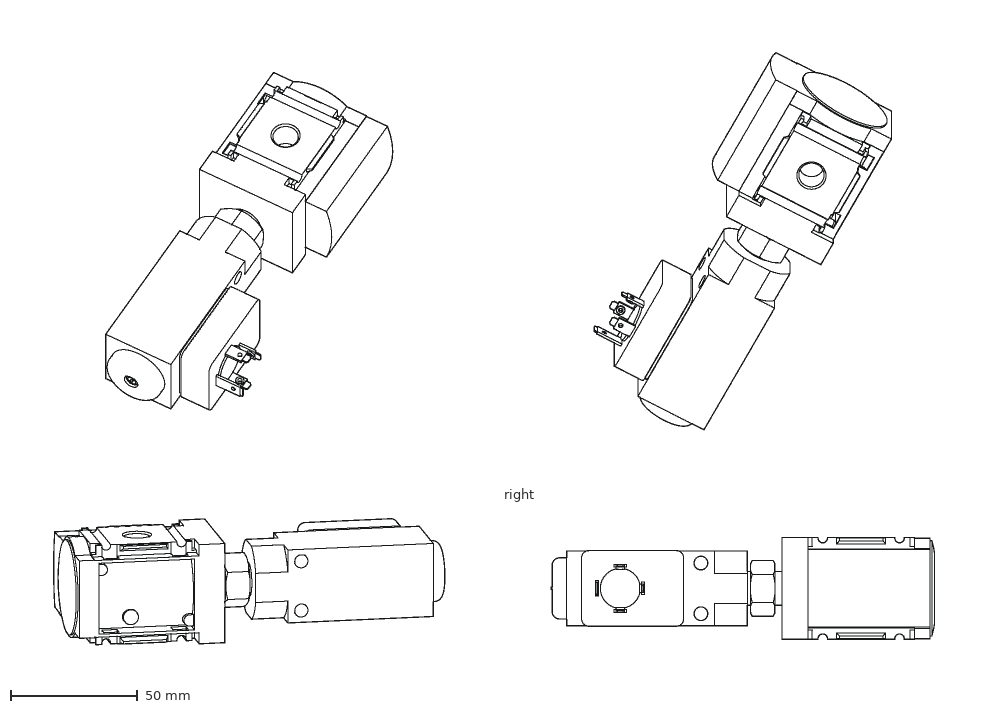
import cadquery as cq
import math


HOUSING_WIDTH = 42.3
HOUSING_HEIGHT = 40.2
BACK_PLATE_HEIGHT = 31.5
CHEEK_HEIGHT = 31.1
FRONT_PLATE = 10.3
CORE_BACK = 52.1
HOUSING_BACK = 58.3
CORE_WIDTH = 30.2
CORE_CENTER = (FRONT_PLATE + CORE_BACK) / 2

BACK_DISC_D = 39.7
DIAL_D = 37.6
DIAL_RIM = 0.8
DIAL_FACE_D = 27.8
DIAL_CROWN = 0.6
DIAL_BACK = 60.1

COVER_THICK = 9.5
COVER_BULGE = 2.4
COVER_HEIGHT = 30.5

PORT_D = 11.5
PORT_BORE_D = 10.0
PORT_CHAMFER = (PORT_D - PORT_BORE_D) / 2
PORT_DEPTH = 12.1

GROOVE_R = 1.8
GROOVE_SPACING = 30.2
GROOVE_AXIS_Z = 19.8

WINDOW_LENGTH = 38.2
WINDOW_HEIGHT = 28.7
BUTTON_D = 6.0
BUTTON_Y = 37.2
BUTTON_Z = -8.6
BUTTON_FACE_X = -18.9
TAB_WIDTH = 4.5
TAB_REACH = 3.8
TAB_Z = 11.0
TAB_FACE_X = -18.6

CHEEK_SLOT_X = (-19.0, -14.7)
CHEEK_SLOT_LENGTH = 6.0
CHEEK_SLOT_SPACING = 27.7

NOTCH_WIDTH = 3.6
NOTCH_POST_X = 1.4
NOTCH_POST_Y = 2.0
NOTCH_DEPTH = 3.6

LIP_REACH = 2.0
LIP_LENGTH = 19.3
LIP_TAPER = 1.0
LIP_TOP_Z = 19.8
LIP_TIP_Z = 18.7
LIP_ROOT_Z = 17.5

THREAD_D = 13.5
HEX_FLATS = 19.0
HEX_FRONT = -12.4
HEX_BACK = -2.7
HEX_CHAMFER_D = 19.3
HEX_ROUND_D = 22.2
HEX_CHAMFER = 0.8
NIPPLE_END = -13.6

SWITCH_SIDE = 29.6
SWITCH_FRONT = -84.8
COLLAR_LENGTH = 12.8
COLLAR_D = 31.9
MOUNT_HOLE_D = 5.3
MOUNT_HOLE_Y = -31.9
MOUNT_HOLE_PITCH = 20.0
CAP_D = 24.2
CAP_FRONT = -90.5
CAP_ROUND = 3.0
SCREW_RECESS_D = 6.0
SCREW_RECESS_DEPTH = 1.2
SCREW_D = 5.0
SCREW_FACE_D = 3.6
SCREW_HEIGHT = 0.6
SCREW_SLOT = 0.6
SCREW_SLOT_ANGLE = 45
SCREW_PIP_D = 0.9
SCREW_PIP_TIP = -91.0

PLUG_NECK = 1.2
PLUG_NECK_INSET = 0.9
PLUG_END_X = 28.7
PLUG_HEIGHT = 29.9
PLUG_BACK = -38.7
PLUG_FRONT = -78.9
PLUG_ROUND = 3.0
PLUG_BOSS_D = 15.7
PLUG_BOSS_HEIGHT = 0.9

CONTACT_Y = -63.6
CONTACT_OFFSET = 8.9
EARTH_OFFSET = 9.2
BLADE_THICK = 1.0
BLADE_TIP_THICK = 0.6
CONTACT_WIDTH = 5.0
CONTACT_SHOULDER = 7.3
CONTACT_TIP = 2.4
CONTACT_TIP_WIDTH = 3.3
CONTACT_HOLE_AT = 5.3
CONTACT_PAD_D = 3.3
CONTACT_PAD_THICK = 0.9
BLADE_HOLE_D = 1.7
EARTH_WIDTH = 6.0
EARTH_SHOULDER = 10.9
EARTH_TIP = 1.2
EARTH_TIP_WIDTH = 5.1
EARTH_HOLE_AT = 7.9


def block(x0, x1, y0, y1, z0, z1):
    """Box between pairs of X, Y and Z limits."""
    return cq.Workplane("XY").box(x1 - x0, y1 - y0, z1 - z0, centered=False).translate((x0, y0, z0))


def rod(diameter, y0, y1):
    """Cylinder on the common Y axis."""
    return cq.Workplane("XZ", origin=(0, y0, 0)).circle(diameter / 2).extrude(y0 - y1)


def revolve_about_y(profile):
    """Revolve a sketch of radius (X) against Y about the Y axis."""
    return profile.close().revolve(360, (0, 0, 0), (0, 1, 0))


def four_corners(shape):
    """A shape and its mirror images about X = 0 and the core centre."""
    pair = [shape, shape.mirror("YZ")]
    return pair + [half.mirror("XZ", (0, CORE_CENTER, 0)) for half in pair]


def add_mirrored_z(body, tools, cut):
    """Apply tools made for the top face to both the top and the bottom face."""
    for tool in tools:
        for placed in (tool, tool.mirror("XY")):
            body = body.cut(placed) if cut else body.union(placed)
    return body


def housing_blocks():
    half_width = HOUSING_WIDTH / 2
    half_height = HOUSING_HEIGHT / 2
    half_cheek = CHEEK_HEIGHT / 2
    half_plate = BACK_PLATE_HEIGHT / 2
    body = block(-half_width, half_width, 0, FRONT_PLATE, -half_height, half_height)
    body = body.union(block(-half_width, half_width, FRONT_PLATE, CORE_BACK, -half_cheek, half_cheek))
    body = body.union(block(-half_width, half_width, CORE_BACK, HOUSING_BACK, -half_plate, half_plate))
    core = block(-CORE_WIDTH / 2, CORE_WIDTH / 2, FRONT_PLATE, CORE_BACK, -half_height, half_height)
    return body.union(core).union(rod(BACK_DISC_D, CORE_BACK, HOUSING_BACK))


def rear_dial():
    rim_back = HOUSING_BACK + DIAL_RIM
    middle_r = (DIAL_D + DIAL_FACE_D) / 4
    middle_y = rim_back + DIAL_CROWN * (DIAL_BACK - rim_back)
    profile = (
        cq.Workplane("XY").moveTo(0, HOUSING_BACK).lineTo(DIAL_D / 2, HOUSING_BACK)
        .lineTo(DIAL_D / 2, rim_back)
        .threePointArc((middle_r, middle_y), (DIAL_FACE_D / 2, DIAL_BACK))
        .lineTo(0, DIAL_BACK)
    )
    return revolve_about_y(profile)


def side_cover():
    start_x = HOUSING_WIDTH / 2
    edge_x = start_x + COVER_THICK
    half = COVER_HEIGHT / 2
    return (
        cq.Workplane("XZ", origin=(0, FRONT_PLATE, 0))
        .moveTo(start_x, -half).lineTo(edge_x, -half)
        .threePointArc((edge_x + COVER_BULGE, 0), (edge_x, half))
        .lineTo(start_x, half).close()
        .extrude(FRONT_PLATE - HOUSING_BACK)
    )


def side_window(body):
    """Open the -X side onto the drum, with a round button and two end tabs."""
    half_height = WINDOW_HEIGHT / 2
    drum_r = DIAL_D / 2
    floor_x = -math.sqrt(drum_r ** 2 - half_height ** 2)
    front = CORE_CENTER - WINDOW_LENGTH / 2
    back = CORE_CENTER + WINDOW_LENGTH / 2
    body = body.cut(block(-HOUSING_WIDTH / 2, floor_x, front, back, -half_height, half_height))
    drum = rod(DIAL_D, front, back).intersect(
        block(-drum_r, 0, front, back, -half_height, half_height))
    button = (
        cq.Workplane("YZ", origin=(BUTTON_FACE_X, BUTTON_Y, BUTTON_Z))
        .circle(BUTTON_D / 2).extrude(-BUTTON_FACE_X)
    )
    body = body.union(drum).union(button)
    for wall_y, inward, z in ((back, -1, TAB_Z), (front, 1, -TAB_Z)):
        tab_r = TAB_WIDTH / 2
        straight = inward * (TAB_REACH - tab_r)
        tab = (
            cq.Workplane("YZ", origin=(TAB_FACE_X, wall_y, z))
            .moveTo(0, -tab_r).lineTo(straight, -tab_r)
            .threePointArc((inward * TAB_REACH, 0), (straight, tab_r))
            .lineTo(0, tab_r).close().extrude(-TAB_FACE_X)
        )
        body = body.union(tab)
    return body


def ports():
    top = HOUSING_HEIGHT / 2
    bore = cq.Workplane("XY", origin=(0, CORE_CENTER, top)).circle(PORT_BORE_D / 2).extrude(-PORT_DEPTH)
    mouth = cq.Solid.makeCone(
        PORT_BORE_D / 2, PORT_D / 2, PORT_CHAMFER, cq.Vector(0, CORE_CENTER, top - PORT_CHAMFER))
    return [bore.union(cq.Workplane(mouth))]


def clamp_grooves():
    """Round-bottomed grooves along X, open at the top."""
    half = CORE_WIDTH / 2
    grooves = []
    for side in (-1, 1):
        y = CORE_CENTER + side * GROOVE_SPACING / 2
        round_part = cq.Workplane("YZ", origin=(-half, y, GROOVE_AXIS_Z)).circle(GROOVE_R).extrude(CORE_WIDTH)
        opening = block(-half, half, y - GROOVE_R, y + GROOVE_R, GROOVE_AXIS_Z, HOUSING_HEIGHT / 2)
        grooves.append(round_part.union(opening))
    return grooves


def cheek_slots():
    """Slots through the -X cheek that open onto the drum."""
    slots = []
    for side in (-1, 1):
        y = CORE_CENTER + side * CHEEK_SLOT_SPACING / 2
        half = CHEEK_SLOT_LENGTH / 2
        slots.append(block(*CHEEK_SLOT_X, y - half, y + half, WINDOW_HEIGHT / 2, HOUSING_HEIGHT / 2))
    return slots


def corner_notches():
    """L-shaped notches at the four corners of the core block."""
    outer = -CORE_WIDTH / 2
    inner_y = CORE_BACK - NOTCH_WIDTH
    top = HOUSING_HEIGHT / 2
    floor = top - NOTCH_DEPTH
    notch = block(outer, outer + NOTCH_WIDTH, inner_y, CORE_BACK, floor, top)
    post = block(outer, outer + NOTCH_POST_X, inner_y, inner_y + NOTCH_POST_Y, floor, top)
    return four_corners(notch.cut(post))


def dovetail_lips():
    """Tapered lip with a sloped underside, on each side of the core block."""
    root_x = CORE_WIDTH / 2
    tip_x = root_x + LIP_REACH
    half = LIP_LENGTH / 2
    plan = (
        cq.Workplane("XY", origin=(0, CORE_CENTER, LIP_ROOT_Z))
        .moveTo(root_x, -half).lineTo(tip_x, LIP_TAPER - half)
        .lineTo(tip_x, half - LIP_TAPER).lineTo(root_x, half).close()
        .extrude(LIP_TOP_Z - LIP_ROOT_Z)
    )
    overhang = (
        cq.Workplane("XZ", origin=(0, CORE_CENTER + half, 0))
        .moveTo(root_x, LIP_ROOT_Z).lineTo(tip_x, LIP_TIP_Z)
        .lineTo(tip_x, LIP_TOP_Z).lineTo(root_x, LIP_TOP_Z).close().extrude(LIP_LENGTH)
    )
    right = plan.intersect(overhang)
    return [right, right.mirror("YZ")]


def make_housing():
    body = housing_blocks().union(rear_dial()).union(side_cover())
    body = side_window(body)
    body = add_mirrored_z(body, dovetail_lips(), cut=False)
    return add_mirrored_z(body, ports() + clamp_grooves() + cheek_slots() + corner_notches(), cut=True)


def make_nipple():
    corner_d = HEX_FLATS / math.cos(math.pi / 6)
    hexagon = (
        cq.Workplane("XZ", origin=(0, HEX_BACK, 0))
        .transformed(rotate=(0, 0, 30)).polygon(6, corner_d).extrude(HEX_BACK - HEX_FRONT)
    )
    face_r = HEX_CHAMFER_D / 2
    round_r = HEX_ROUND_D / 2
    envelope = revolve_about_y(
        cq.Workplane("XY").moveTo(0, HEX_FRONT).lineTo(face_r, HEX_FRONT)
        .lineTo(round_r, HEX_FRONT + HEX_CHAMFER).lineTo(round_r, HEX_BACK - HEX_CHAMFER)
        .lineTo(face_r, HEX_BACK).lineTo(0, HEX_BACK)
    )
    return hexagon.intersect(envelope).union(rod(THREAD_D, NIPPLE_END, 0))


def switch_block():
    half = SWITCH_SIDE / 2
    collar_front = NIPPLE_END - COLLAR_LENGTH
    body = block(-half, half, SWITCH_FRONT, collar_front, -half, half)
    collar = block(-half, half, collar_front, NIPPLE_END, -half, half)
    body = body.union(collar.intersect(rod(COLLAR_D, collar_front, NIPPLE_END)))
    holes = (
        cq.Workplane("YZ", origin=(-half, MOUNT_HOLE_Y, 0))
        .pushPoints([(0, -MOUNT_HOLE_PITCH / 2), (0, MOUNT_HOLE_PITCH / 2)])
        .circle(MOUNT_HOLE_D / 2).extrude(SWITCH_SIDE)
    )
    return body.cut(holes)


def end_cap():
    """Rounded cap with a recessed, conical and slotted adjusting screw and its centre pip."""
    cap = rod(CAP_D, CAP_FRONT, SWITCH_FRONT).faces("<Y").edges().fillet(CAP_ROUND)
    recess_floor = CAP_FRONT + SCREW_RECESS_DEPTH
    cap = cap.cut(rod(SCREW_RECESS_D, CAP_FRONT, recess_floor))
    screw_r = SCREW_D / 2
    screw_face = recess_floor - SCREW_HEIGHT
    screw = cq.Workplane(cq.Solid.makeCone(
        screw_r, SCREW_FACE_D / 2, SCREW_HEIGHT, cq.Vector(0, recess_floor, 0), cq.Vector(0, -1, 0)))
    slot = block(-screw_r, screw_r, screw_face, recess_floor, -SCREW_SLOT / 2, SCREW_SLOT / 2)
    screw = screw.cut(slot.rotate((0, 0, 0), (0, 1, 0), -SCREW_SLOT_ANGLE))
    return cap.union(screw).union(rod(SCREW_PIP_D, SCREW_PIP_TIP, recess_floor))


def plug_block():
    start_x = SWITCH_SIDE / 2
    block_x = start_x + PLUG_NECK
    half = PLUG_HEIGHT / 2
    inset = PLUG_NECK_INSET
    neck = block(start_x, block_x, PLUG_FRONT + inset, PLUG_BACK - inset, inset - half, half - inset)
    body = block(block_x, PLUG_END_X, PLUG_FRONT, PLUG_BACK, -half, half)
    boss = (
        cq.Workplane("YZ", origin=(PLUG_END_X, CONTACT_Y, 0))
        .circle(PLUG_BOSS_D / 2).extrude(PLUG_BOSS_HEIGHT)
    )
    return neck.edges("|X").fillet(PLUG_ROUND).union(body.edges("|X").fillet(PLUG_ROUND)).union(boss)


def blade(width, shoulder, tip, tip_width, hole_at):
    """Flat contact along X in the XY plane, with a thinner bevelled tip and a hole."""
    half_tip = tip_width / 2
    end = shoulder + tip
    bevel = tip / 4
    body = block(0, shoulder, -width / 2, width / 2, -BLADE_THICK / 2, BLADE_THICK / 2)
    point = (
        cq.Workplane("XY", origin=(0, 0, -BLADE_TIP_THICK / 2))
        .polyline([
            (shoulder, -half_tip), (end - bevel, -half_tip), (end, bevel - half_tip),
            (end, half_tip - bevel), (end - bevel, half_tip), (shoulder, half_tip),
        ]).close().extrude(BLADE_TIP_THICK)
    )
    return body.union(point).cut(blade_hole(hole_at))


def blade_hole(hole_at):
    """Cutter long enough to pass through a blade and its pad."""
    return (
        cq.Workplane("XY", origin=(hole_at, 0, -BLADE_THICK))
        .circle(BLADE_HOLE_D / 2).extrude(2 * BLADE_THICK + CONTACT_PAD_THICK)
    )


def plug_contacts():
    """Three contacts around the boss and the longer earth blade."""
    flat = blade(CONTACT_WIDTH, CONTACT_SHOULDER, CONTACT_TIP, CONTACT_TIP_WIDTH, CONTACT_HOLE_AT)
    pad = (
        cq.Workplane("XY", origin=(CONTACT_HOLE_AT, 0, BLADE_THICK / 2))
        .circle(CONTACT_PAD_D / 2).extrude(CONTACT_PAD_THICK)
    )
    contact = flat.union(pad).cut(blade_hole(CONTACT_HOLE_AT))
    contact = contact.translate((0, 0, -CONTACT_OFFSET))
    earth = blade(EARTH_WIDTH, EARTH_SHOULDER, EARTH_TIP, EARTH_TIP_WIDTH, EARTH_HOLE_AT)
    earth = earth.translate((0, 0, -EARTH_OFFSET))
    axis = ((0, 0, 0), (1, 0, 0))
    turned = [contact.rotate(*axis, angle) for angle in (0, 90, 180)]
    turned.append(earth.rotate(*axis, -90))
    return [shape.translate((PLUG_END_X, CONTACT_Y, 0)) for shape in turned]


def make_switch():
    body = switch_block().union(end_cap()).union(plug_block())
    for contact in plug_contacts():
        body = body.union(contact)
    return body


housing = make_housing()
nipple = make_nipple()
switch = make_switch()
result = cq.Compound.makeCompound([housing.val(), nipple.val(), switch.val()])